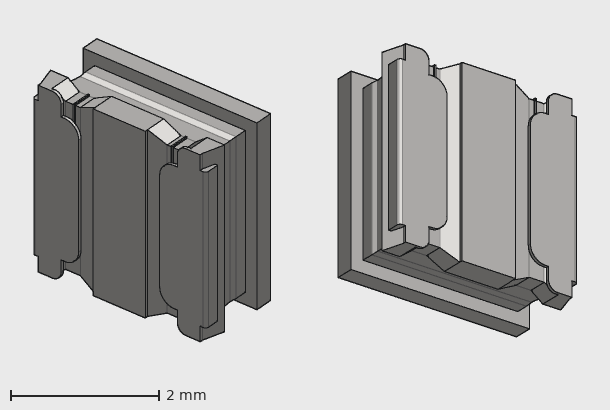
import cadquery as cq


side = 3.0
half = side / 2
depth = 1.4

back_flange_thickness = 0.3
front_flange_back = 0.4
body_half = 1.3
throat_half = 1.293
flare_half = 1.35
flare_radius = 1.38
straight_length = 0.2
taper_length = 0.125

pad_thickness = 0.05
channel_floor = 0.1
foot_half = 1.398
center_half = 0.45
floor_inner = 0.75
floor_outer = 1.002
channel_outer = 1.2
notch_depth = 0.15

wire_center = 0.843
wire_width = 0.025
wire_height = 0.025

pad_inner = 0.7
pad_shoulder = 1.15
shoulder_radius = 0.25
tip_radius = 0.15
wrap_half_height = 1.25
wrap_top = 0.25
wrap_edge_radius = 0.05


def block(x_min, x_max, y_min, y_max, z_half):
    """Box symmetric about the XY plane."""
    return (
        cq.Workplane("XY")
        .box(x_max - x_min, y_max - y_min, 2 * z_half, centered=(False, False, True))
        .translate((x_min, y_min, 0))
    )


def both_sides(shape):
    return shape.union(shape.mirror("YZ"))


def winding_profile():
    """Winding section in XY, extruded along Z."""
    y_back = depth - back_flange_thickness
    y_taper = y_back - straight_length
    y_throat = y_taper - taper_length
    return (
        cq.Workplane("XY")
        .moveTo(-body_half, y_back)
        .lineTo(-body_half, y_taper)
        .lineTo(-throat_half, y_throat)
        .radiusArc((-flare_half, front_flange_back), flare_radius)
        .lineTo(flare_half, front_flange_back)
        .radiusArc((throat_half, y_throat), flare_radius)
        .lineTo(body_half, y_taper)
        .lineTo(body_half, y_back)
        .close()
        .extrude(half, both=True)
    )


def winding():
    """Same profile on all four sides, with mitred corners."""
    profile = winding_profile()
    return profile.intersect(profile.rotate((0, 0, 0), (0, 1, 0), 90))


def front_flange():
    right_edge = [
        (center_half, 0),
        (center_half, pad_thickness),
        (floor_inner, channel_floor),
        (floor_outer, channel_floor),
        (channel_outer, pad_thickness),
        (foot_half, pad_thickness),
        (half, front_flange_back),
    ]
    left_edge = [(-x, y) for x, y in reversed(right_edge)]
    flange = cq.Workplane("XY").polyline(right_edge + left_edge).close().extrude(half, both=True)

    notch = (
        cq.Workplane("XZ")
        .polyline([
            (center_half, half),
            (floor_inner, half - notch_depth),
            (floor_outer, half - notch_depth),
            (channel_outer, half),
        ])
        .close()
        .extrude(-front_flange_back)
    )
    notches = both_sides(notch)
    return flange.cut(notches).cut(notches.mirror("XY"))


def wire():
    """Flat strip over the +Z notch floor and down the channel, ending under the pad."""
    wire_top = half - notch_depth + wire_height
    strip = block(
        wire_center - wire_width / 2,
        wire_center + wire_width / 2,
        channel_floor - wire_height,
        front_flange_back,
        wire_top / 2,
    )
    return strip.translate((0, 0, wire_top / 2))


def terminal():
    tongue = block(floor_outer, foot_half, 0, pad_thickness, half)
    tongue = tongue.edges("|Y and <X").fillet(tip_radius)
    plate = block(pad_inner, foot_half, 0, pad_thickness, pad_shoulder)
    plate = plate.edges("|Y and <X").fillet(shoulder_radius)

    wrap = block(channel_outer, half, 0, wrap_top, wrap_half_height)
    wrap = wrap.edges("|Z and >X and <Y").fillet(wrap_edge_radius)
    return tongue.union(plate).union(wrap)


back_flange = block(-half, half, depth - back_flange_thickness, depth, half)

result = (
    back_flange
    .union(winding())
    .union(front_flange())
    .union(both_sides(wire()))
    .union(both_sides(terminal()))
)